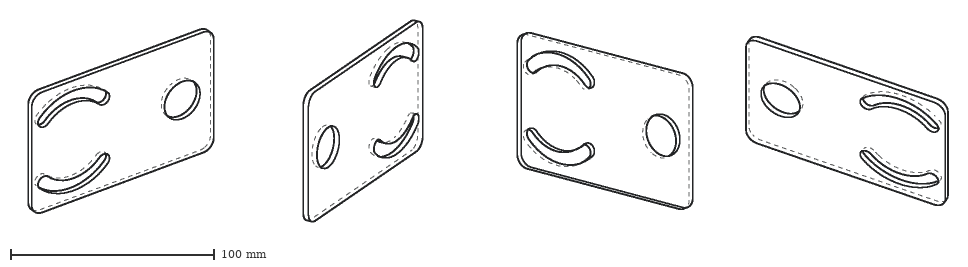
import cadquery as cq
import math

thickness = 3.1
length = 109.7
height = 69.9
corner_radius = 6.4

hole_diameter = 21.4
hole_y = 35.9

slot_centre_y = -29.5
slot_outer_radius = 29.0
slot_inner_radius = 21.8
slot_half_angle = 45.0
slot_mid_radius = (slot_outer_radius + slot_inner_radius) / 2
slot_end_radius = (slot_outer_radius - slot_inner_radius) / 2


def slot_point(radius, angle):
    """Point at a radius and angle (degrees from +Y) about the slot centre."""
    a = math.radians(angle)
    return (slot_centre_y + radius * math.cos(a), radius * math.sin(a))


def slot_cutter(mid_angle):
    """Arc slot with round ends, centred on mid_angle."""
    start = mid_angle - slot_half_angle
    end = mid_angle + slot_half_angle
    end_tip_turn = math.radians(end + 90)
    start_tip_turn = math.radians(start - 90)
    end_y, end_z = slot_point(slot_mid_radius, end)
    start_y, start_z = slot_point(slot_mid_radius, start)
    end_tip = (
        end_y + slot_end_radius * math.cos(end_tip_turn),
        end_z + slot_end_radius * math.sin(end_tip_turn),
    )
    start_tip = (
        start_y + slot_end_radius * math.cos(start_tip_turn),
        start_z + slot_end_radius * math.sin(start_tip_turn),
    )
    return (
        cq.Workplane("YZ")
        .moveTo(*slot_point(slot_outer_radius, start))
        .threePointArc(slot_point(slot_outer_radius, mid_angle), slot_point(slot_outer_radius, end))
        .threePointArc(end_tip, slot_point(slot_inner_radius, end))
        .threePointArc(slot_point(slot_inner_radius, mid_angle), slot_point(slot_inner_radius, start))
        .threePointArc(start_tip, slot_point(slot_outer_radius, start))
        .close()
        .extrude(thickness, both=True)
    )


plate = cq.Workplane("XY").box(thickness, length, height).edges("|X").fillet(corner_radius)

hole = (
    cq.Workplane("YZ")
    .center(hole_y, 0)
    .circle(hole_diameter / 2)
    .extrude(thickness, both=True)
)

result = plate.cut(hole)
for mid_angle in (90, 270):
    result = result.cut(slot_cutter(mid_angle))